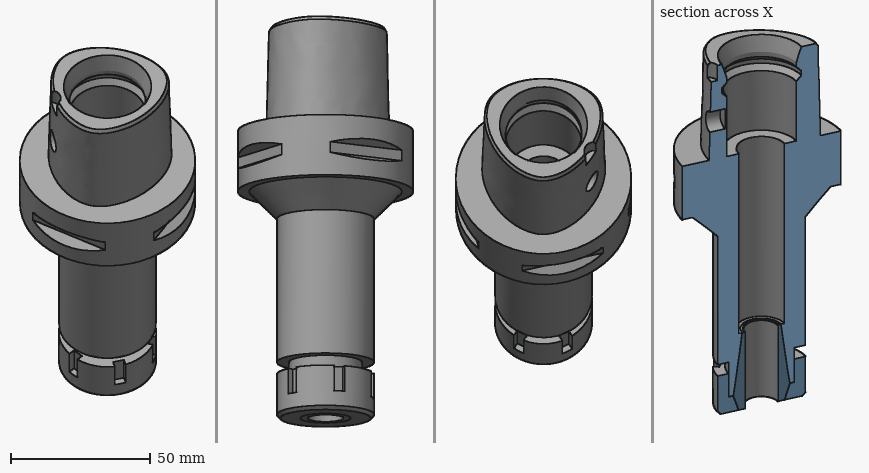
import cadquery as cq
import math


total_height = 143.0
shank_length = 38.0
flange_thickness = 22.0
cone_height = 10.0
body_end_z = -84.5
nut_top_z = -89.0
front_z = shank_length - total_height

shank_radius = 22.2
lobe_height = 1.3
shank_slope = 1 / 40
shank_chamfer_height = 1.3
shank_chamfer_width = 0.9

mouth_radius = 15.7
bore_radius = 13.7
mouth_depth = 6.0
groove_start_depth = 8.0
groove_width = 5.7
groove_depth = mouth_radius - bore_radius
bore_depth = shank_length
through_radius = 9.0

notch_radius = 3.9
notch_centre_y = -21.5
notch_height = 6.1
side_hole_radius = 4.0
side_hole_z = 15.5
side_hole_floor_y = -14.6

flange_radius = 63.0 / 2
gripper_count = 4
gripper_z = -11.9
gripper_floor_radius = 27.7
gripper_floor_width = 3.9
gripper_rim_width = 7.6

body_radius = 17.5
cone_radius = body_radius + cone_height
neck_radius = 13.2
nose_end_z = -98.7

collet_top_z = -73.5
collet_top_radius = 7.6
collet_taper_angle = math.radians(8)
collet_wide_radius = collet_top_radius + (collet_top_z - nose_end_z) * math.tan(collet_taper_angle)
collet_face_radius = 9.0
collet_bore_radius = 6.5
collet_bore_chamfer = 0.3

nut_radius = 35.0 / 2
nut_chamfer = 1.3
spanner_slot_count = 6
spanner_slot_width = 4.0
spanner_slot_height = 9.3
spanner_slot_floor_radius = 15.0


def revolve_profile(points):
    """Revolve a closed (radius, z) outline about the Z axis."""
    return cq.Workplane("XZ").polyline(points).close().revolve(360, (0, 0), (0, 1))


def lobed_wire(mean_radius, z):
    """Closed three-lobed curve of constant width, with one lobe toward +Y."""

    def point(turn):
        angle = 2 * math.pi * turn
        reach = mean_radius - lobe_height * math.sin(3 * angle)
        reach_rate = -3 * lobe_height * math.cos(3 * angle)
        return (
            reach * math.cos(angle) - reach_rate * math.sin(angle),
            reach * math.sin(angle) + reach_rate * math.cos(angle),
        )

    curve = cq.Workplane("XY").workplane(offset=z).parametricCurve(point, N=120, maxDeg=5)
    return curve.val()


def make_shank():
    chamfer_z = shank_length - shank_chamfer_height
    chamfer_radius = shank_radius - chamfer_z * shank_slope
    base = lobed_wire(shank_radius, 0)
    shoulder = lobed_wire(chamfer_radius, chamfer_z)
    top = lobed_wire(chamfer_radius - shank_chamfer_width, shank_length)
    taper = cq.Workplane(cq.Solid.makeLoft([base, shoulder], True))
    chamfer = cq.Workplane(cq.Solid.makeLoft([shoulder, top], True))
    return taper.union(chamfer)


def make_holder_body():
    """Flange, cone, cylindrical body and the neck that enters the nut."""
    return revolve_profile([
        (0, 0),
        (flange_radius, 0),
        (flange_radius, -flange_thickness),
        (cone_radius, -flange_thickness),
        (body_radius, -flange_thickness - cone_height),
        (body_radius, body_end_z),
        (neck_radius, body_end_z),
        (neck_radius, nose_end_z),
        (0, nose_end_z),
    ])


def make_holder_cavity():
    """Tapered mouth, undercut groove, bore, through hole and collet seat."""
    groove_start_z = shank_length - groove_start_depth
    groove_end_z = groove_start_z - groove_width
    floor_z = shank_length - bore_depth
    return revolve_profile([
        (0, shank_length),
        (mouth_radius, shank_length),
        (bore_radius, shank_length - mouth_depth),
        (bore_radius, groove_start_z),
        (bore_radius + groove_depth, groove_start_z - groove_depth),
        (bore_radius + groove_depth, groove_end_z + groove_depth),
        (bore_radius, groove_end_z),
        (bore_radius, floor_z),
        (through_radius, floor_z),
        (through_radius, collet_top_z),
        (collet_top_radius, collet_top_z),
        (collet_wide_radius, nose_end_z),
        (0, nose_end_z),
    ])


def make_key_notch():
    notch = cq.Workplane("XY").workplane(offset=shank_length - notch_height)
    return notch.center(0, notch_centre_y).circle(notch_radius).extrude(notch_height)


def make_side_hole():
    hole = cq.Workplane("XZ", origin=(0, side_hole_floor_y, side_hole_z))
    return hole.circle(side_hole_radius).extrude(flange_radius)


def make_gripper_grooves():
    """Flat-floored grooves with sloping walls, centred on the diagonals."""
    floor_half = gripper_floor_width / 2
    rim_half = gripper_rim_width / 2
    groove = (
        cq.Workplane("XZ")
        .polyline([
            (gripper_floor_radius, gripper_z - floor_half),
            (flange_radius, gripper_z - rim_half),
            (flange_radius, gripper_z + rim_half),
            (gripper_floor_radius, gripper_z + floor_half),
        ])
        .close()
        .extrude(flange_radius, both=True)
    )
    pitch = 360 / gripper_count
    return [groove.rotate((0, 0, 0), (0, 0, 1), (i + 0.5) * pitch) for i in range(gripper_count)]


def make_holder():
    holder = make_holder_body().union(make_shank())
    holder = holder.cut(make_holder_cavity())
    holder = holder.cut(make_key_notch()).cut(make_side_hole())
    for groove in make_gripper_grooves():
        holder = holder.cut(groove)
    return holder


def make_nut():
    nut = revolve_profile([
        (neck_radius, nut_top_z),
        (nut_radius, nut_top_z),
        (nut_radius, front_z + nut_chamfer),
        (nut_radius - nut_chamfer, front_z),
        (collet_face_radius, front_z),
        (collet_wide_radius, nose_end_z),
        (neck_radius, nose_end_z),
    ])
    slot = cq.Workplane("XY").box(
        nut_radius, spanner_slot_width, spanner_slot_height, centered=(False, True, False)
    ).translate((spanner_slot_floor_radius, 0, nut_top_z - spanner_slot_height))
    for i in range(spanner_slot_count):
        nut = nut.cut(slot.rotate((0, 0, 0), (0, 0, 1), i * 360 / spanner_slot_count))
    return nut


def make_collet():
    return revolve_profile([
        (collet_bore_radius + collet_bore_chamfer, collet_top_z),
        (collet_top_radius, collet_top_z),
        (collet_wide_radius, nose_end_z),
        (collet_face_radius, front_z),
        (collet_bore_radius, front_z),
        (collet_bore_radius, collet_top_z - collet_bore_chamfer),
    ])


holder = make_holder()
nut = make_nut()
collet = make_collet()

result = cq.Compound.makeCompound([body.solids().val() for body in (holder, nut, collet)])